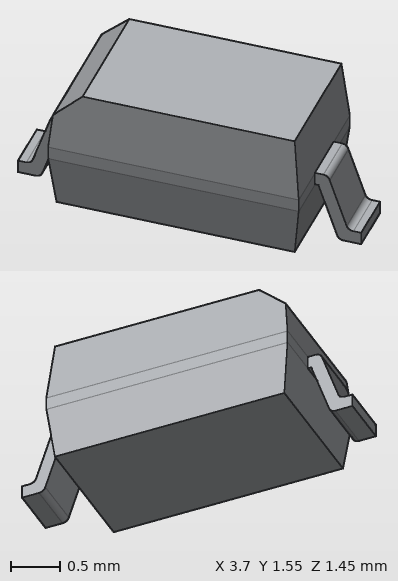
import cadquery as cq
import math

LENGTH = 2.7
WIDTH = 1.55
TAPER_INSET = 0.065
BOTTOM_Z = 0.055
TOP_Z = 1.45
BAND_TOP_Z = 0.777
CHAMFER_TOP_X = -1.003
CHAMFER_LOW_Z = 1.16

SPAN = 3.7
LEAD_WIDTH = 0.57
LEAD_THICKNESS = 0.145
FOOT_TOP_LENGTH = 0.14
SLOPE_ANGLE = 71.0
BEND_RADIUS = 0.075

BAND_BOTTOM_Z = BAND_TOP_Z - LEAD_THICKNESS


def tapered_block(start_z, end_z):
    """Block with the full outline at start_z and the inset outline at end_z."""
    return (
        cq.Workplane("XY", origin=(0, 0, start_z))
        .rect(LENGTH, WIDTH)
        .workplane(offset=end_z - start_z)
        .rect(LENGTH - 2 * TAPER_INSET, WIDTH - 2 * TAPER_INSET)
        .loft(ruled=True)
    )


def chamfer_wedge():
    """Cutter for the sloped marking face along the top -X edge."""
    taper_fraction = (CHAMFER_LOW_Z - BAND_TOP_Z) / (TOP_Z - BAND_TOP_Z)
    low_x = -LENGTH / 2 + TAPER_INSET * taper_fraction
    return (
        cq.Workplane("XZ")
        .polyline([(low_x, CHAMFER_LOW_Z), (CHAMFER_TOP_X, TOP_Z), (low_x, TOP_Z)])
        .close()
        .extrude(WIDTH / 2, both=True)
    )


def make_housing():
    band = (
        cq.Workplane("XY", origin=(0, 0, BAND_BOTTOM_Z))
        .rect(LENGTH, WIDTH)
        .extrude(LEAD_THICKNESS)
    )
    upper = tapered_block(BAND_TOP_Z, TOP_Z).cut(chamfer_wedge())
    lower = tapered_block(BAND_BOTTOM_Z, BOTTOM_Z)
    return band.union(upper).union(lower)


def make_lead():
    """Lead on the -X side, butting against the end of the housing band."""
    tip_x = -SPAN / 2
    housing_x = -LENGTH / 2
    run = BAND_BOTTOM_Z / math.tan(math.radians(SLOPE_ANGLE))
    corner_shift = LEAD_THICKNESS * math.tan(math.radians(SLOPE_ANGLE / 2))
    foot_top_x = tip_x + FOOT_TOP_LENGTH
    foot_bottom_x = foot_top_x + corner_shift
    outline = [
        (tip_x, 0),
        (foot_bottom_x, 0),
        (foot_bottom_x + run, BAND_BOTTOM_Z),
        (housing_x, BAND_BOTTOM_Z),
        (housing_x, BAND_TOP_Z),
        (foot_top_x + run, BAND_TOP_Z),
        (foot_top_x, LEAD_THICKNESS),
        (tip_x, LEAD_THICKNESS),
    ]
    lead = cq.Workplane("XZ").polyline(outline).close().extrude(LEAD_WIDTH / 2, both=True)
    for bend in [(foot_bottom_x, 0), (foot_top_x + run, BAND_TOP_Z), (foot_top_x, LEAD_THICKNESS)]:
        edge_selector = cq.selectors.NearestToPointSelector((bend[0], 0, bend[1]))
        lead = lead.edges("|Y").edges(edge_selector).fillet(BEND_RADIUS)
    return lead


housing = make_housing()
lead_solids = []
for turn in (0, 180):
    lead = make_lead().rotate((0, 0, 0), (0, 0, 1), turn)
    lead_solids.append(lead.val())

result = cq.Compound.makeCompound([housing.val(), *lead_solids])